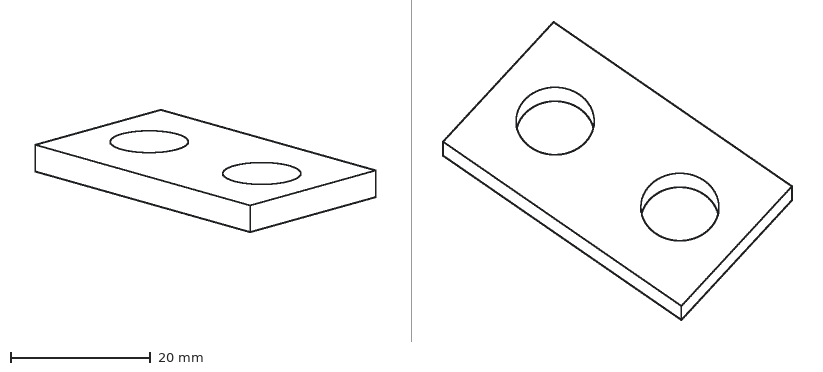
import cadquery as cq

plate_length = 43.69
plate_width = 25.4
plate_thickness = 4.0
hole_diameter = 11.18
hole_spacing = 22.86


def make_plate():
    """Flat rectangular plate, centred in X and Y, resting on Z = 0."""
    return cq.Workplane("XY").box(
        plate_length, plate_width, plate_thickness, centered=(True, True, False)
    )


def cut_holes(plate):
    """Two through holes on the long centreline, symmetric about the middle."""
    hole_centres = [(side * hole_spacing / 2, 0) for side in (-1, 1)]
    return plate.faces(">Z").workplane().pushPoints(hole_centres).hole(hole_diameter)


result = cut_holes(make_plate())